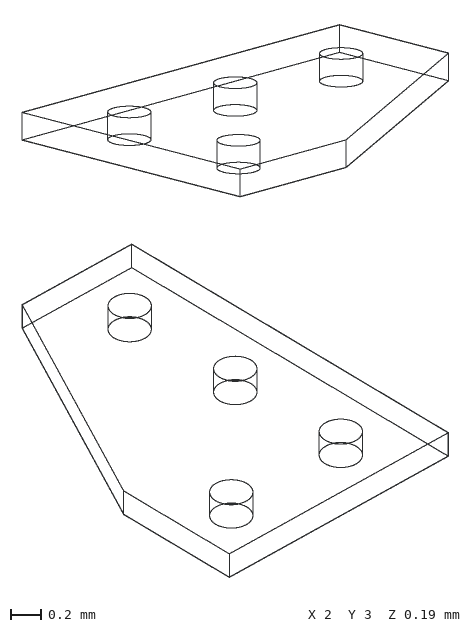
import cadquery as cq

length = 3.0
rows = 3
pitch = length / rows
width = 2 * pitch
thickness = 0.19
hole_diameter = 0.285

outline = [
    (0, 0),
    (width, 0),
    (width, pitch),
    (pitch, length),
    (0, length),
]
plate = cq.Workplane("XY").polyline(outline).close().extrude(thickness)

hole_centers = [(pitch / 2, (row + 0.5) * pitch) for row in range(rows)]
hole_centers.append((width - pitch / 2, pitch / 2))
holes = (
    cq.Workplane("XY")
    .pushPoints(hole_centers)
    .circle(hole_diameter / 2)
    .extrude(thickness)
)

result = plate.cut(holes)